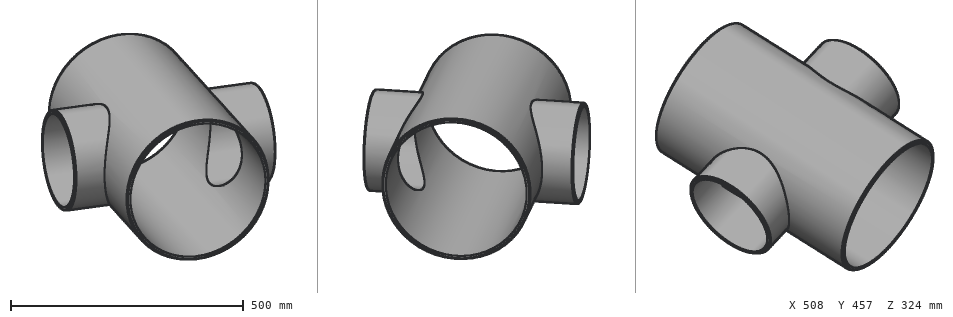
import cadquery as cq

run_length = 508.0
run_outer_diameter = 324.0
run_wall = 8.0

branch_length = 457.0
branch_outer_diameter = 219.0
branch_wall = 8.0

bevel = 2.5


def centered_cylinder(plane, diameter, length):
    """Solid cylinder along the plane's normal, centered on the origin."""
    return cq.Workplane(plane).circle(diameter / 2).extrude(length / 2, both=True)


def beveled_cylinder(plane, diameter, length):
    """Centered cylinder with the weld bevel on both end edges."""
    return centered_cylinder(plane, diameter, length).edges("%CIRCLE").chamfer(bevel)


run_body = beveled_cylinder("YZ", run_outer_diameter, run_length)
branch_body = beveled_cylinder("XZ", branch_outer_diameter, branch_length)

run_bore = centered_cylinder("YZ", run_outer_diameter - 2 * run_wall, run_length)
branch_bore = centered_cylinder("XZ", branch_outer_diameter - 2 * branch_wall, branch_length)

result = run_body.union(branch_body).cut(run_bore).cut(branch_bore)